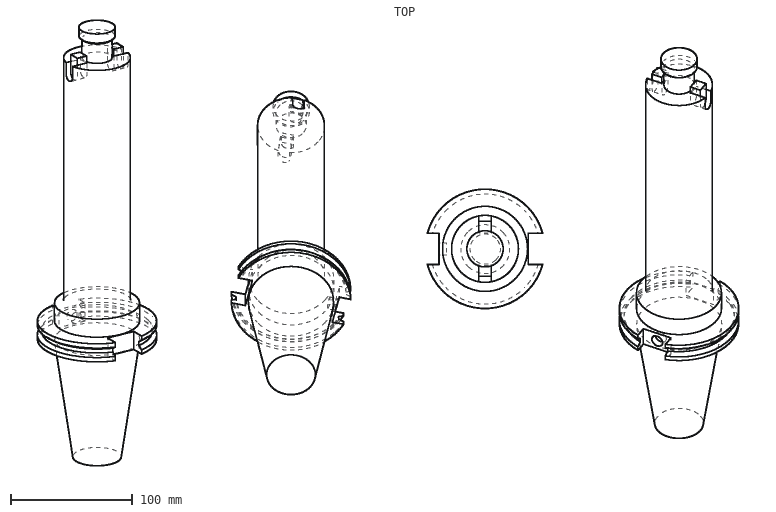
import cadquery as cq

TOTAL_HEIGHT = 382.5
TAPER_LENGTH = 101.7
FLANGE_BOTTOM = 104.8
FLANGE_HEIGHT = 16.0
COLLAR_TOP = 137.0
SHANK_TOP = 355.3
CAP_HEIGHT = 10.0
CAP_BEVEL_HEIGHT = 2.0

TAPER_SMALL_DIAMETER = 40.0
COLLAR_DIAMETER = 70.0
FLANGE_DIAMETER = 98.3
SHANK_DIAMETER = 55.0
PILOT_DIAMETER = 25.0
CAP_DIAMETER = 30.0
SHANK_FILLET = 3.0

GROOVE_DEPTH = 4.0
GROOVE_ROOT_WIDTH = 3.5
GROOVE_MOUTH_WIDTH = 8.5

DRIVE_SLOT_WIDTH = 25.5
SHALLOW_SLOT_FLOOR = 38.0
DEEP_SLOT_FLOOR = 35.5

FLANGE_HOLE_DIAMETER = 10.0
FLANGE_HOLE_DEPTH = 6.0

KEY_WIDTH = 10.0
KEY_TOP = 361.5
KEY_BOTTOM = 340.8
KEY_INNER_FACE = 13.5
KEY_OUTER_FACE = 22.5

FLANGE_TOP = FLANGE_BOTTOM + FLANGE_HEIGHT
FLANGE_MIDDLE = FLANGE_BOTTOM + FLANGE_HEIGHT / 2
FLANGE_RADIUS = FLANGE_DIAMETER / 2
COLLAR_RADIUS = COLLAR_DIAMETER / 2
SHANK_RADIUS = SHANK_DIAMETER / 2
PILOT_RADIUS = PILOT_DIAMETER / 2
PILOT_TOP = TOTAL_HEIGHT - CAP_HEIGHT
SIDES = (-1, 1)


def turned_blank():
    """Taper, flange, collar, shank and pilot revolved as one profile around Z."""
    groove_root = FLANGE_RADIUS - GROOVE_DEPTH
    profile = (
        cq.Workplane("XZ")
        .moveTo(0, 0)
        .lineTo(TAPER_SMALL_DIAMETER / 2, 0)
        .lineTo(COLLAR_RADIUS, TAPER_LENGTH)
        .lineTo(COLLAR_RADIUS, FLANGE_BOTTOM)
        .lineTo(FLANGE_RADIUS, FLANGE_BOTTOM)
        .lineTo(FLANGE_RADIUS, FLANGE_MIDDLE - GROOVE_MOUTH_WIDTH / 2)
        .lineTo(groove_root, FLANGE_MIDDLE - GROOVE_ROOT_WIDTH / 2)
        .lineTo(groove_root, FLANGE_MIDDLE + GROOVE_ROOT_WIDTH / 2)
        .lineTo(FLANGE_RADIUS, FLANGE_MIDDLE + GROOVE_MOUTH_WIDTH / 2)
        .lineTo(FLANGE_RADIUS, FLANGE_TOP)
        .lineTo(COLLAR_RADIUS, FLANGE_TOP)
        .lineTo(COLLAR_RADIUS, COLLAR_TOP)
        .lineTo(SHANK_RADIUS + SHANK_FILLET, COLLAR_TOP)
        .radiusArc((SHANK_RADIUS, COLLAR_TOP + SHANK_FILLET), SHANK_FILLET)
        .lineTo(SHANK_RADIUS, SHANK_TOP)
        .lineTo(PILOT_RADIUS, SHANK_TOP)
        .lineTo(PILOT_RADIUS, PILOT_TOP)
        .lineTo(0, PILOT_TOP)
        .close()
    )
    return profile.revolve(360, (0, 0, 0), (0, 1, 0))


def drive_slot(side, floor):
    """Cutter for one flange drive slot, on the +X or -X side, down to floor from the axis."""
    slot_depth = FLANGE_RADIUS - floor
    slot = cq.Workplane("XY").box(slot_depth, DRIVE_SLOT_WIDTH, FLANGE_HEIGHT)
    return slot.translate((side * (floor + slot_depth / 2), 0, FLANGE_MIDDLE))


def flange_hole():
    """Cutter for the blind hole in the floor of the shallow slot, on the -X side."""
    return (
        cq.Workplane("YZ", origin=(-SHALLOW_SLOT_FLOOR, 0, FLANGE_MIDDLE))
        .circle(FLANGE_HOLE_DIAMETER / 2)
        .extrude(FLANGE_HOLE_DEPTH)
    )


def key_shape(side, outer_face):
    """Round-bottomed block from the inner key face out to outer_face, on the +Y or -Y side."""
    half_width = KEY_WIDTH / 2
    straight_bottom = KEY_BOTTOM + half_width
    return (
        cq.Workplane("XZ", origin=(0, side * KEY_INNER_FACE, 0))
        .moveTo(-half_width, KEY_TOP)
        .lineTo(-half_width, straight_bottom)
        .threePointArc((0, KEY_BOTTOM), (half_width, straight_bottom))
        .lineTo(half_width, KEY_TOP)
        .close()
        .extrude(-side * (outer_face - KEY_INNER_FACE))
    )


def make_holder():
    """Tool holder with its drive slots, flange hole and key seats cut."""
    holder = turned_blank()
    holder = holder.cut(drive_slot(-1, SHALLOW_SLOT_FLOOR))
    holder = holder.cut(drive_slot(1, DEEP_SLOT_FLOOR))
    holder = holder.cut(flange_hole())
    for side in SIDES:
        holder = holder.cut(key_shape(side, SHANK_RADIUS))
    return holder


def make_key(side):
    """Drive key, set back from the surface of the shank."""
    return key_shape(side, KEY_OUTER_FACE)


def make_retaining_cap():
    """Retaining cap on the pilot, its lower edge bevelled down to the pilot diameter."""
    bevel_width = (CAP_DIAMETER - PILOT_DIAMETER) / 2
    return (
        cq.Workplane("XY", origin=(0, 0, PILOT_TOP))
        .circle(CAP_DIAMETER / 2)
        .extrude(CAP_HEIGHT)
        .faces("<Z")
        .edges()
        .chamfer(CAP_BEVEL_HEIGHT, bevel_width)
    )


holder = make_holder()
keys = [make_key(side) for side in SIDES]
retaining_cap = make_retaining_cap()

result = cq.Compound.makeCompound([holder.val(), *[key.val() for key in keys], retaining_cap.val()])